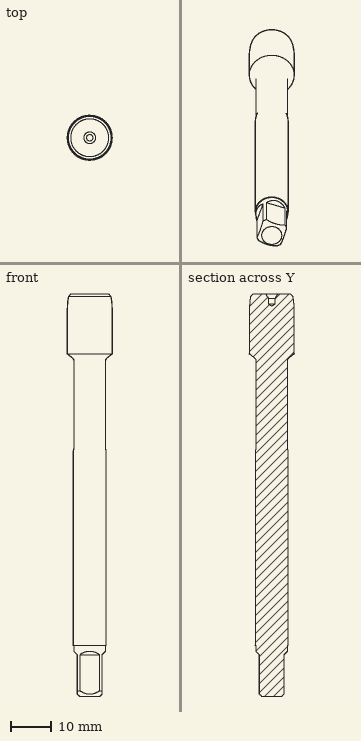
import cadquery as cq
import math

length = 100.0
head_diameter = 11.2
shank_diameter = 8.2
slim_diameter = 7.9
head_r = head_diameter / 2
shank_r = shank_diameter / 2
slim_r = slim_diameter / 2

crown_top_z = 99.3
crown_bottom_z = 96.3
neck_z = 83.3
top_face_r = 4.7
crown_top_r = 5.3
underside_angle = 38.0
underside_blend_r = 1.0

step_top_z = 61.6
step_bottom_z = 61.0
drive_collar_z = 12.7

square_width = 6.2
square_top_z = 10.4
tip_r = 2.5
tip_chamfer = slim_r - tip_r

hole_diameter = 1.6
countersink_diameter = 2.9
countersink_depth = 1.1
hole_depth = 2.5
drill_tip_angle = 120.0


def revolved_body():
    crown_height = crown_top_z - crown_bottom_z
    crown_drop = head_r - crown_top_r
    crown_arc_r = (crown_height**2 + crown_drop**2) / (2 * crown_drop)
    half_angle = math.asin(crown_height / crown_arc_r) / 2
    crown_mid = (
        head_r - crown_arc_r * (1 - math.cos(half_angle)),
        crown_bottom_z + crown_arc_r * math.sin(half_angle),
    )

    angle = math.radians(underside_angle)
    turn = math.pi / 2 - angle
    blend_centre_r = slim_r + underside_blend_r

    def blend_point(theta):
        return (
            blend_centre_r - underside_blend_r * math.cos(theta),
            neck_z + underside_blend_r * math.sin(theta),
        )

    cone_start_r, cone_start_z = blend_point(turn)
    head_bottom_z = cone_start_z + (head_r - cone_start_r) * math.tan(angle)

    profile = (
        cq.Workplane("XZ")
        .moveTo(0, 0)
        .lineTo(tip_r, 0)
        .lineTo(slim_r, tip_chamfer)
        .lineTo(slim_r, drive_collar_z)
        .lineTo(shank_r, drive_collar_z)
        .lineTo(shank_r, step_bottom_z)
        .lineTo(slim_r, step_top_z)
        .lineTo(slim_r, neck_z)
        .threePointArc(blend_point(turn / 2), (cone_start_r, cone_start_z))
        .lineTo(head_r, head_bottom_z)
        .lineTo(head_r, crown_bottom_z)
        .threePointArc(crown_mid, (crown_top_r, crown_top_z))
        .lineTo(top_face_r, length)
        .lineTo(0, length)
        .close()
    )
    return profile.revolve(360, (0, 0), (0, 1))


def flat_cutter():
    flat_y = square_width / 2
    outer_y = head_r
    return (
        cq.Workplane("YZ")
        .polyline([
            (-flat_y, 0),
            (-outer_y, 0),
            (-outer_y, square_top_z + outer_y - flat_y),
            (-flat_y, square_top_z),
        ])
        .close()
        .extrude(head_r, both=True)
    )


def centre_hole():
    hole_r = hole_diameter / 2
    drill_tip_height = hole_r / math.tan(math.radians(drill_tip_angle / 2))
    return (
        cq.Workplane("XZ")
        .polyline([
            (0, length),
            (countersink_diameter / 2, length),
            (hole_r, length - countersink_depth),
            (hole_r, length - hole_depth),
            (0, length - hole_depth - drill_tip_height),
        ])
        .close()
        .revolve(360, (0, 0), (0, 1))
    )


result = revolved_body().cut(centre_hole())
for side in range(4):
    result = result.cut(flat_cutter().rotate((0, 0, 0), (0, 0, 1), 90 * side))